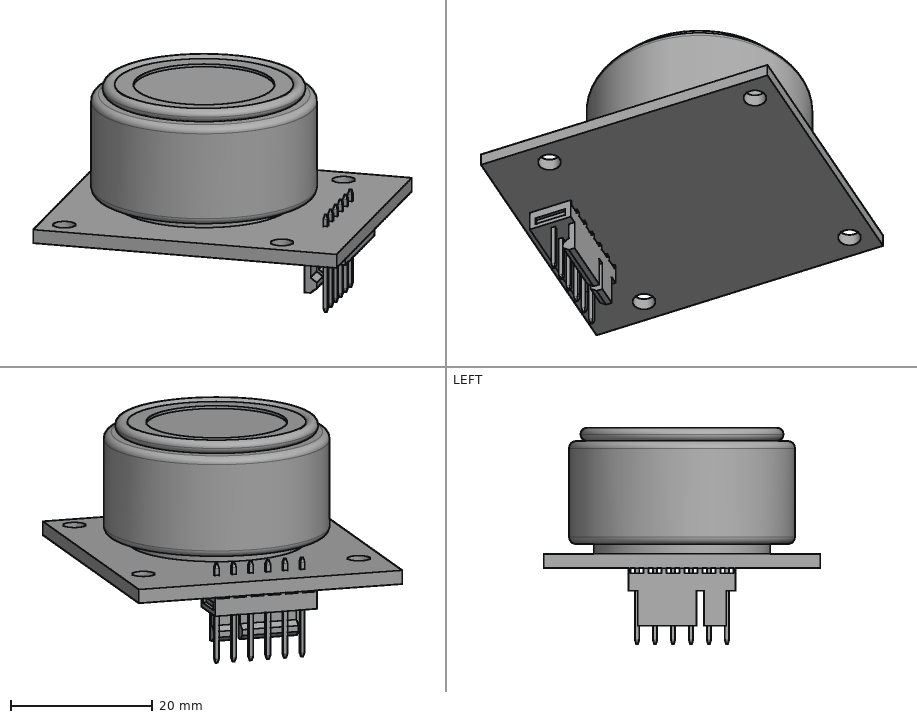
import cadquery as cq

board_length = 44.6
board_width = 39.1
board_thickness = 2.0
mount_hole_diameter = 3.2
mount_hole_pitch = 32.0

can_center_x = 19.6
can_diameter = 32.0
can_height = 14.6
can_fillet = 1.03
neck_diameter = 25.0
neck_height = 1.4
ring_tube_radius = 0.95
ring_inner_diameter = 24.98
face_rise = 0.5
window_diameter = 20.0
window_depth = 0.4

pin_row_x = 39.3
pin_count = 6
pin_pitch = 2.55
housing_start_x = 36.13
housing_length = 6.4
housing_width = 15.15
housing_height = 3.2
relief_width = 1.8
relief_height = 0.7
side_slot_length = 4.65
side_slot_top = 1.4
side_slot_height = 1.1
side_slot_lip = 0.15
side_slot_depth = 0.45

latch_thickness = 0.9
latch_width = 12.58
latch_drop = 8.15
hook_reach = 0.95
hook_start_drop = 5.9
hook_face_top_drop = 6.55
hook_face_bottom_drop = 7.4
latch_gap_width = 1.03
latch_gap_y = -2.6

pin_size = 0.62
pin_top = 3.65
pin_drop = 10.75
pin_tip_height = 0.62
pin_tip_size = 0.25

can_base = board_thickness + neck_height
can_top = can_base + can_height
ring_center_z = can_top + ring_tube_radius
face_z = ring_center_z + face_rise
pin_positions = [(pin_row_x, (i - (pin_count - 1) / 2) * pin_pitch) for i in range(pin_count)]


def box_from_corner(x, z, length, width, height, center_y=0.0):
    """Box starting at x and z, centred on center_y across its width."""
    return (
        cq.Workplane("XY", origin=(x, center_y, z))
        .box(length, width, height, centered=(False, True, False))
    )


def disc(diameter, base_z, height):
    """Upright cylinder on the sensor axis."""
    return cq.Workplane("XY", origin=(can_center_x, 0, base_z)).circle(diameter / 2).extrude(height)


def make_board():
    board = box_from_corner(0, 0, board_length, board_width, board_thickness)
    mount_holes = (
        cq.Workplane("XY", origin=(can_center_x, 0, 0))
        .rect(mount_hole_pitch, mount_hole_pitch, forConstruction=True)
        .vertices()
        .circle(mount_hole_diameter / 2)
        .extrude(board_thickness)
    )
    pin_holes = (
        cq.Workplane("XY")
        .pushPoints(pin_positions)
        .rect(pin_size, pin_size)
        .extrude(board_thickness)
    )
    return board.cut(mount_holes).cut(pin_holes)


def make_sensor():
    neck = disc(neck_diameter, board_thickness, neck_height)
    can = disc(can_diameter, can_base, can_height).edges().fillet(can_fillet)
    ring_radius = ring_inner_diameter / 2 + ring_tube_radius
    cap = disc(2 * ring_radius, can_top, face_z - can_top)
    ring = (
        cq.Workplane("XZ", origin=(can_center_x, 0, ring_center_z))
        .center(ring_radius, 0)
        .circle(ring_tube_radius)
        .revolve(360, (-ring_radius, 0), (-ring_radius, 1))
    )
    window = disc(window_diameter, face_z - window_depth, window_depth)
    return neck.union(can).union(cap).union(ring).cut(window)


def make_latch():
    inner_x = housing_start_x + latch_thickness
    hook_x = inner_x + hook_reach
    latch = (
        cq.Workplane("XZ")
        .moveTo(housing_start_x, -housing_height)
        .lineTo(inner_x, -housing_height)
        .lineTo(inner_x, -hook_start_drop)
        .lineTo(hook_x, -hook_face_top_drop)
        .lineTo(hook_x, -hook_face_bottom_drop)
        .lineTo(inner_x, -latch_drop)
        .lineTo(housing_start_x, -latch_drop)
        .close()
        .extrude(latch_width / 2, both=True)
    )
    gap = box_from_corner(
        housing_start_x,
        -latch_drop,
        latch_thickness + hook_reach,
        latch_gap_width,
        latch_drop - housing_height,
        latch_gap_y,
    )
    return latch.cut(gap)


def make_side_slot():
    """Recess in the -Y end of the housing with a sloping lower side."""
    outer_y = -housing_width / 2
    inner_y = outer_y + side_slot_depth
    slot_bottom = side_slot_top + side_slot_height
    return (
        cq.Workplane("YZ", origin=(housing_start_x + (housing_length - side_slot_length) / 2, 0, 0))
        .moveTo(outer_y, -side_slot_top)
        .lineTo(inner_y, -side_slot_top)
        .lineTo(inner_y, -slot_bottom + side_slot_lip)
        .lineTo(outer_y, -slot_bottom)
        .close()
        .extrude(side_slot_length)
    )


def make_housing():
    housing = box_from_corner(
        housing_start_x, -housing_height, housing_length, housing_width, housing_height
    )
    for _, pin_y in pin_positions:
        relief = box_from_corner(
            housing_start_x, -relief_height, housing_length, relief_width, relief_height, pin_y
        )
        housing = housing.cut(relief)
    side_slot = make_side_slot()
    return housing.cut(side_slot).cut(side_slot.mirror("XZ"))


def make_pin(x, y):
    """Square pin tapering to a small flat at both ends."""
    shank_bottom = -pin_drop + pin_tip_height
    shank_top = pin_top - pin_tip_height
    shank = (
        cq.Workplane("XY", origin=(x, y, shank_bottom))
        .rect(pin_size, pin_size)
        .extrude(shank_top - shank_bottom)
    )
    for shank_end, tip_end in ((shank_top, pin_top), (shank_bottom, -pin_drop)):
        tip = (
            cq.Workplane("XY", origin=(x, y, shank_end))
            .rect(pin_size, pin_size)
            .workplane(offset=tip_end - shank_end)
            .rect(pin_tip_size, pin_tip_size)
            .loft()
        )
        shank = shank.union(tip)
    return shank


def make_connector():
    connector = make_housing().union(make_latch())
    for x, y in pin_positions:
        connector = connector.union(make_pin(x, y))
    return connector


sensor_board = make_board().union(make_sensor())
connector = make_connector()
result = cq.Compound.makeCompound([sensor_board.val(), connector.val()])